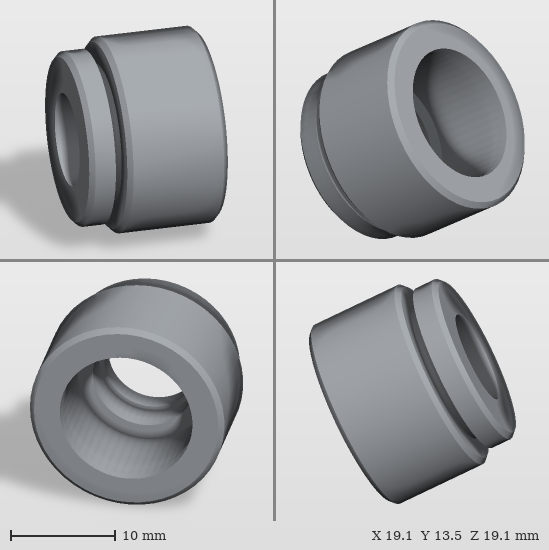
import cadquery as cq

body_diameter = 19.05
flange_diameter = 17.0
groove_diameter = 14.0
mouth_diameter = 9.0
middle_bore_diameter = 10.0
rear_bore_diameter = 13.0
mouth_depth = 2.0
rear_bore_start = 5.0
total_length = 13.5
body_length = 10.0
groove_width = 1.0
edge_chamfer = 0.5

flange_length = total_length - body_length - groove_width


def cylinder_along_y(diameter, start, length):
    """Solid cylinder on the Y axis, reaching from start towards +Y."""
    plane = cq.Workplane("XZ", origin=(0, start, 0))
    return plane.circle(diameter / 2).extrude(-length)


flange = cylinder_along_y(flange_diameter, 0, flange_length)
flange = flange.faces("<Y").edges().chamfer(edge_chamfer)

core = cylinder_along_y(groove_diameter, 0, total_length)

body = cylinder_along_y(body_diameter, flange_length + groove_width, body_length)
body = body.faces("<Y or >Y").edges().chamfer(edge_chamfer)

mouth = cylinder_along_y(mouth_diameter, 0, total_length)
middle_bore = cylinder_along_y(middle_bore_diameter, mouth_depth, total_length - mouth_depth)
rear_bore = cylinder_along_y(rear_bore_diameter, rear_bore_start, total_length - rear_bore_start)

result = flange.union(core).union(body).cut(mouth).cut(middle_bore).cut(rear_bore)